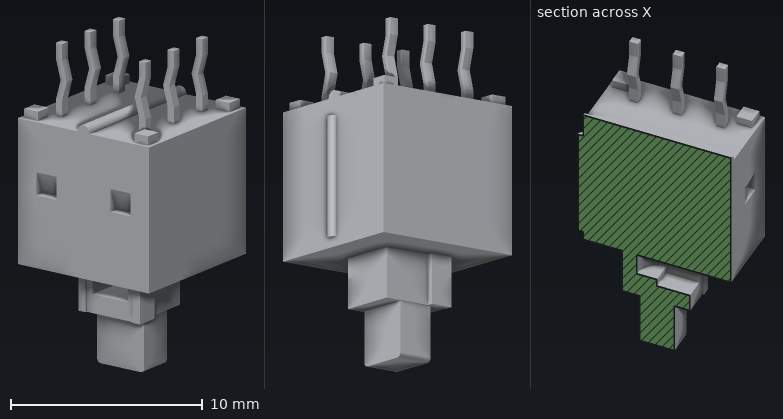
import cadquery as cq


housing_width = 8.5
housing_height = 8.0
half_housing = housing_width / 2

pad_size = 0.9
pad_height = 0.5
pad_margin = 0.23
pad_offset = half_housing - pad_margin - pad_size / 2

top_rib_radius = 0.4
back_rib_radius = 0.3
back_rib_top_gap = 1.0
back_rib_bottom_gap = 0.5

pin_length = 4.0
pin_thickness = 0.4
pin_width = 0.5
pin_outer_x = 2.9
pin_pitch = 2.5
pin_bend_offset = 0.3
pin_bend_half_height = 1.1
pin_root_depth = 0.2

pocket_width = 1.3
pocket_height = 1.25
pocket_depth = 0.5
pocket_offset_x = 2.4
pocket_top_gap = 2.75

flange_width = 4.0
flange_thickness = 1.28
stem_width = 3.3
slider_length = 4.0
slider_height = 2.7
groove_depth = 0.1

recess_width = 2.3
window_height = 1.66
bore_height = 1.23

button_width = 3.05
button_thickness = 2.0
button_length = 3.0
button_edge_radius = 0.25

housing_bottom = -housing_height
slider_bottom = housing_bottom - slider_height
sides = (-1, 1)


def box(x_size, y_size, z_size, center_x, center_y, bottom_z):
    """Block placed by the centre of its bottom face."""
    block = cq.Workplane("XY").box(x_size, y_size, z_size, centered=(True, True, False))
    return block.translate((center_x, center_y, bottom_z))


def make_housing():
    return box(housing_width, housing_width, housing_height, 0, 0, housing_bottom)


def make_pads():
    corners = [(x * pad_offset, y * pad_offset) for x in sides for y in sides]
    return cq.Workplane("XY").pushPoints(corners).rect(pad_size, pad_size).extrude(pad_height)


def make_top_rib():
    section = cq.Workplane("XZ", origin=(0, half_housing, 0)).circle(top_rib_radius)
    return section.extrude(housing_width)


def make_back_rib():
    height = housing_height - back_rib_top_gap - back_rib_bottom_gap
    section = cq.Workplane("XY").center(0, half_housing).circle(back_rib_radius)
    return section.extrude(height).translate((0, 0, housing_bottom + back_rib_bottom_gap))


def make_pin(side, center_y):
    """One bent pin on the -X (side = -1) or +X (side = 1) row."""
    bend_middle = pin_length / 2
    outer_edge = [
        (pin_outer_x, -pin_root_depth),
        (pin_outer_x, bend_middle - pin_bend_half_height),
        (pin_outer_x - pin_bend_offset, bend_middle),
        (pin_outer_x, bend_middle + pin_bend_half_height),
        (pin_outer_x, pin_length),
    ]
    inner_edge = [(x - pin_thickness, z) for x, z in reversed(outer_edge)]
    outline = [(side * x, z) for x, z in outer_edge + inner_edge]
    pin = cq.Workplane("XZ").polyline(outline).close().extrude(pin_width / 2, both=True)
    return pin.translate((0, center_y, 0))


def make_pocket(center_x):
    """Wedge that is deepest at its flat floor and runs out at its top edge."""
    front_y = -half_housing
    floor_z = -pocket_top_gap - pocket_height
    outline = [
        (front_y, -pocket_top_gap),
        (front_y, floor_z),
        (front_y + pocket_depth, floor_z),
    ]
    wedge = cq.Workplane("YZ").polyline(outline).close().extrude(pocket_width / 2, both=True)
    return wedge.translate((center_x, 0, 0))


def make_slider():
    front_y = -slider_length / 2
    stem = box(stem_width, slider_length, slider_height, 0, 0, slider_bottom)
    flange_center_y = front_y + flange_thickness / 2
    flange = box(flange_width, flange_thickness, slider_height, 0, flange_center_y, slider_bottom)
    groove_center_y = front_y + groove_depth / 2
    groove = box(button_width, groove_depth, slider_height, 0, groove_center_y, slider_bottom)

    window_length = slider_length / 2
    window = box(
        recess_width, window_length, window_height,
        0, front_y + window_length / 2, housing_bottom - window_height,
    )
    bore = cq.Workplane("XY").circle(recess_width / 2).extrude(bore_height)
    bore = bore.translate((0, 0, housing_bottom - bore_height))
    return stem.union(flange).cut(groove).cut(window).cut(bore)


def make_button():
    button_bottom = slider_bottom - button_length
    button = box(button_width, button_thickness, button_length, 0, 0, button_bottom)
    return button.faces("<Z").edges("|Y").fillet(button_edge_radius)


result = make_housing()
for pocket_side in sides:
    result = result.cut(make_pocket(pocket_side * pocket_offset_x))

result = result.union(make_pads()).union(make_top_rib()).union(make_back_rib())
for pin_side in sides:
    for pin_row in (-1, 0, 1):
        result = result.union(make_pin(pin_side, pin_row * pin_pitch))

result = result.union(make_slider()).union(make_button())